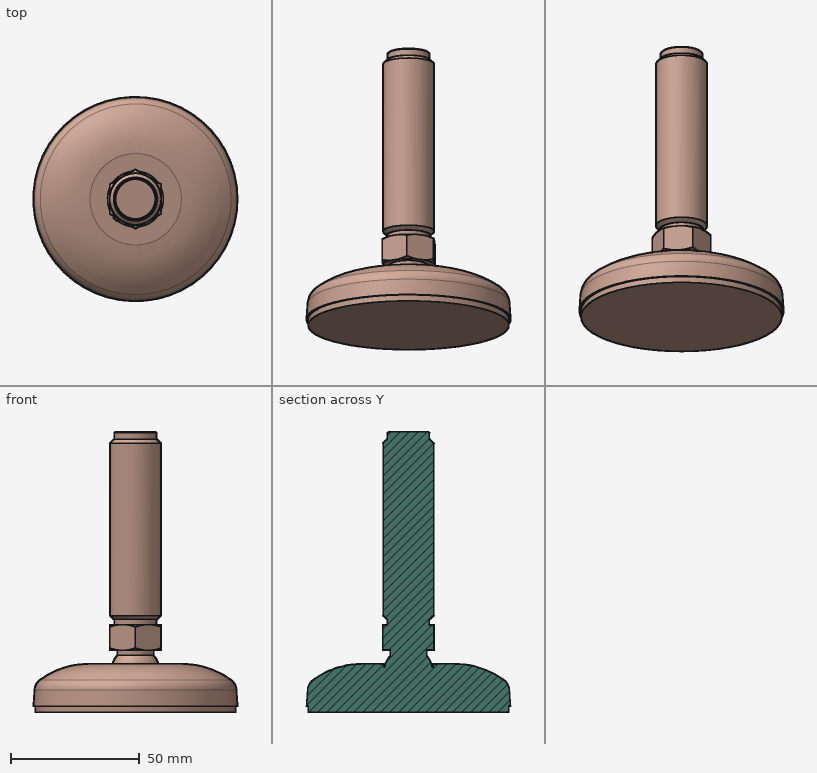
import cadquery as cq
import math

pad_diameter = 78.2
pad_height = 2.4
base_diameter = 79.6
base_top_z = 19.0
skirt_top_diameter = 78.7
skirt_top_z = 8.7
dome_edge_diameter = 74.3
dome_edge_z = 12.8
flat_top_diameter = 35.6

recess_diameter = 21.7
recess_depth = 0.16
notch_width = 1.7
notch_reach = 11.2
notch_angle = 225

opening_diameter = 19.0
opening_depth = 1.1

ball_diameter = 19.0
lower_neck_diameter = 14.3

hex_sides = 6
hex_across_flats = 20.0
hex_bottom_z = 24.2
hex_top_z = 34.1
hex_face_diameter = 20.3
hex_chamfer_angle = 30

shank_diameter = 20.0
shank_end_diameter = 16.5
shank_bottom_z = 36.1
shank_chamfer = 1.5
tip_bottom_z = 106.3
tip_chamfer_drop = 0.4
tip_chamfer_run = 0.5
total_height = 109.2

ball_neck_z = 22.2
ball_center_z = ball_neck_z - math.sqrt(ball_diameter**2 - lower_neck_diameter**2) / 2


def cylinder(diameter, bottom_z, top_z):
    return cq.Workplane("XY").workplane(offset=bottom_z).circle(diameter / 2).extrude(top_z - bottom_z)


def make_base():
    profile = (
        cq.Workplane("XZ")
        .moveTo(0, base_top_z)
        .lineTo(flat_top_diameter / 2, base_top_z)
        .tangentArcPoint((dome_edge_diameter / 2, dome_edge_z), relative=False)
        .tangentArcPoint((skirt_top_diameter / 2, skirt_top_z), relative=False)
        .lineTo(base_diameter / 2, pad_height)
        .lineTo(pad_diameter / 2, pad_height)
        .lineTo(pad_diameter / 2, 0)
        .lineTo(0, 0)
        .close()
    )
    return profile.revolve(360, (0, 0, 0), (0, 1, 0))


def make_recess():
    floor_z = base_top_z - recess_depth
    notch = (
        cq.Workplane("XY")
        .workplane(offset=floor_z)
        .rect(notch_reach, notch_width)
        .extrude(recess_depth)
        .translate((notch_reach / 2, 0, 0))
        .rotate((0, 0, 0), (0, 0, 1), notch_angle)
    )
    opening = cylinder(opening_diameter, floor_z - opening_depth, floor_z)
    return cylinder(recess_diameter, floor_z, base_top_z).union(notch).union(opening)


def make_ball():
    ball = cq.Workplane("XY").sphere(ball_diameter / 2).translate((0, 0, ball_center_z))
    return ball.intersect(cylinder(ball_diameter, 0, ball_neck_z))


def make_hex():
    half_side_angle = 180 / hex_sides
    across_corners = hex_across_flats / math.cos(math.radians(half_side_angle))
    hexagon = (
        cq.Workplane("XY")
        .workplane(offset=hex_bottom_z)
        .polygon(hex_sides, across_corners)
        .extrude(hex_top_z - hex_bottom_z)
        .rotate((0, 0, 0), (0, 0, 1), half_side_angle)
    )
    corner_run = (across_corners - hex_face_diameter) / 2
    corner_drop = corner_run * math.tan(math.radians(hex_chamfer_angle))
    turned_blank = (
        cylinder(across_corners, hex_bottom_z, hex_top_z)
        .faces("<Z or >Z")
        .edges()
        .chamfer(corner_drop, corner_run)
    )
    return hexagon.intersect(turned_blank)


def make_shank():
    shank = cylinder(shank_diameter, shank_bottom_z, tip_bottom_z).edges().chamfer(shank_chamfer)
    tip = (
        cylinder(shank_end_diameter, tip_bottom_z, total_height)
        .faces(">Z")
        .chamfer(tip_chamfer_drop, tip_chamfer_run)
    )
    return shank.union(tip)


lower_neck = cylinder(lower_neck_diameter, ball_center_z, hex_bottom_z)
upper_neck = cylinder(shank_end_diameter, hex_top_z, shank_bottom_z)

result = (
    make_base()
    .cut(make_recess())
    .union(make_ball())
    .union(lower_neck)
    .union(make_hex())
    .union(upper_neck)
    .union(make_shank())
)